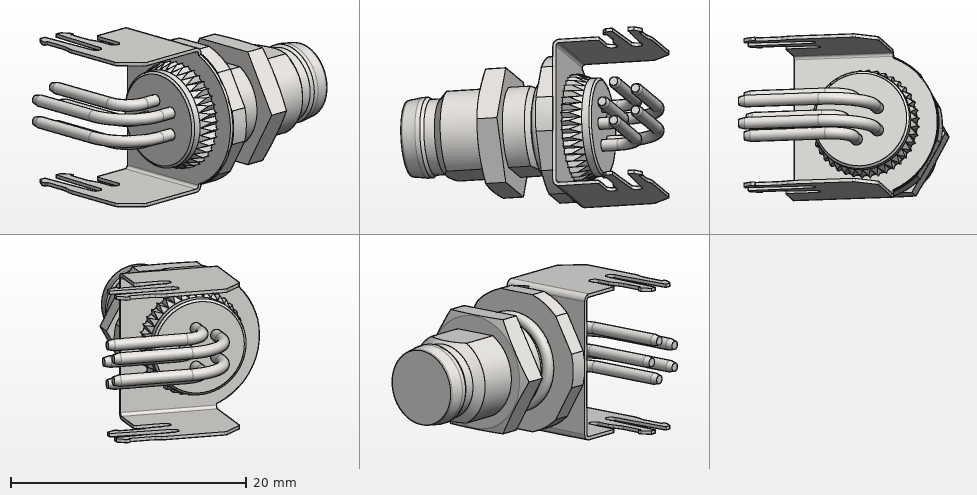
import cadquery as cq
import math


END_Y = 14.21
END_RADIUS = 3.25
END_BEVEL = 0.14
END_BEVEL_RADIUS = 3.3
RIDGE_TOP_Y = 12.9
RIDGE_BOTTOM_Y = 12.48
RIDGE_RADIUS = 3.45
NECK_RADIUS = 3.25
NECK_TOP_Y = 12.18
NECK_BOTTOM_Y = 11.25
BARREL_RADIUS = 4.0
BARREL_TOP_Y = 10.53
BARREL_BOTTOM_Y = 3.1
GROOVE_DIAMETER = 6.7
GROOVE_RADIUS = GROOVE_DIAMETER / 2
GROOVE_TOP_Y = 2.72
BARREL_FLAT_WIDTH = 7.0

NUT_FLAT_WIDTH = 10.0
NUT_TOP_Y = 7.04
NUT_THICKNESS = 1.99
NUT_BEVEL_RADIUS = 4.91
NUT_BEVEL_ANGLE = 14
FLANGE_THICKNESS = 1.53
FLANGE_RADIUS = 6.25
FLANGE_FLAT_WIDTH = 12.02
SEAL_WIRE_RADIUS = 0.5
SEAL_RADIUS = 3.86
SEAL_Y = 2.0

RIM_RADIUS = 4.2
RIM_END_Y = -2.79
RIM_BEVEL_LENGTH = 0.15
RIM_BEVEL_DEPTH = 0.2
TOOTH_COUNT = 40
TOOTH_TIP_RADIUS = 4.62
TOOTH_VALLEY_RADIUS = 4.23
TOOTH_TAPER_Y = -0.94
TOOTH_END_Y = -1.99

PIN_RADIUS = 0.5
PIN_TIP_RADIUS = 0.37
PIN_TIP_LENGTH = 0.55
PIN_EMBED_DEPTH = 0.23
PIN_ROOT_Y = RIM_END_Y + PIN_EMBED_DEPTH
CENTER_PIN = (-1.33, 0, -5.19, 1.49, -9.37)
OUTER_PIN = (-0.35, 1.7, -6.2, 1.99, -9.37)
LONG_PIN = (1.49, 0.95, -8.13, 4.0, -9.45)

SHEET = 0.3
BRACKET_HEIGHT = 12.8
BEND_OUTER_RADIUS = 0.57
BRACKET_LEFT_X = -6.25
BRACKET_RIGHT_X = 2.33
BRACKET_END_Y = -8.4
PLATE_RADIUS = 6.17
BRACKET_HOLE_RADIUS = 4.4
LEG_CORNER_CUT = 1.75
CUT_CORNER_FILLET = 0.37
LEG_CORNER_FILLET = 0.23
SLOT_RADIUS = 0.48
SLOT_END_X = -3.15

PRONG_HALF_SPAN = 1.71
PRONG_AXIS_Y = BRACKET_END_Y + PRONG_HALF_SPAN
PRONG_TIP_X = -9.1
PRONG_NOSE_X = -8.39
PRONG_BARB_X = -8.05
PRONG_ROOT_X = -4.75
PRONG_SLOPE_RUN = 0.48
PRONG_RELIEF_OFFSET = 1.45
PRONG_NOSE_OFFSET = 1.23
PRONG_GAP_AT_TIP = 0.69


def revolve_about_y(points):
    """Solid of revolution about the Y axis from (radius, y) points."""
    return cq.Workplane("XY").polyline(points).close().revolve(360, (0, 0), (0, 1))


def plate_along_y(y_low, y_high):
    """Workplane at y_low whose normal is -Y, and the signed distance that extrudes up to y_high."""
    return cq.Workplane("XZ", origin=(0, y_low, 0)), -(y_high - y_low)


def hexagon_prism(flat_width, y_low, y_high):
    """Hexagon with one pair of flats facing +Z and -Z."""
    plane, length = plate_along_y(y_low, y_high)
    return plane.polygon(6, flat_width / math.cos(math.pi / 6)).extrude(length)


def make_barrel():
    top_part = [
        (0, END_Y),
        (END_RADIUS, END_Y),
        (END_BEVEL_RADIUS, END_Y - END_BEVEL),
        (RIDGE_RADIUS, RIDGE_TOP_Y),
        (RIDGE_RADIUS, RIDGE_BOTTOM_Y),
        (NECK_RADIUS, NECK_TOP_Y),
        (NECK_RADIUS, NECK_BOTTOM_Y),
    ]
    threaded_part = [
        (BARREL_RADIUS, BARREL_TOP_Y),
        (BARREL_RADIUS, BARREL_BOTTOM_Y),
        (GROOVE_RADIUS, GROOVE_TOP_Y),
        (GROOVE_RADIUS, 0),
        (0, 0),
    ]
    barrel = revolve_about_y(top_part + threaded_part)
    flats = cq.Workplane("XY").box(
        2 * BARREL_RADIUS, END_Y, BARREL_FLAT_WIDTH, centered=(True, False, True)
    )
    return barrel.intersect(flats)


def make_nut():
    bottom_y = NUT_TOP_Y - NUT_THICKNESS
    corner_radius = NUT_FLAT_WIDTH / math.sqrt(3)
    bevel_drop = (corner_radius - NUT_BEVEL_RADIUS) * math.tan(math.radians(NUT_BEVEL_ANGLE))
    bevel = revolve_about_y([
        (0, NUT_TOP_Y),
        (NUT_BEVEL_RADIUS, NUT_TOP_Y),
        (corner_radius, NUT_TOP_Y - bevel_drop),
        (corner_radius, bottom_y),
        (0, bottom_y),
    ])
    return hexagon_prism(NUT_FLAT_WIDTH, bottom_y, NUT_TOP_Y).intersect(bevel)


def make_flange():
    plane, length = plate_along_y(0, FLANGE_THICKNESS)
    disc = plane.circle(FLANGE_RADIUS).extrude(length)
    return disc.intersect(hexagon_prism(FLANGE_FLAT_WIDTH, 0, FLANGE_THICKNESS))


def make_seal():
    ring = cq.Workplane("XY").center(-SEAL_RADIUS, SEAL_Y).circle(SEAL_WIRE_RADIUS)
    return ring.revolve(360, (SEAL_RADIUS, 0), (SEAL_RADIUS, 1))


def make_knurl():
    """Ring of pointed teeth, tapered towards the rim."""
    half_pitch = math.pi / TOOTH_COUNT
    outline = []
    for i in range(2 * TOOTH_COUNT):
        radius = TOOTH_TIP_RADIUS if i % 2 else TOOTH_VALLEY_RADIUS
        outline.append((radius * math.cos(i * half_pitch), radius * math.sin(i * half_pitch)))
    plane, length = plate_along_y(TOOTH_END_Y, 0)
    teeth = plane.polyline(outline).close().extrude(length)
    envelope = revolve_about_y([
        (0, 0),
        (TOOTH_TIP_RADIUS, 0),
        (TOOTH_TIP_RADIUS, TOOTH_TAPER_Y),
        (RIM_RADIUS, TOOTH_END_Y),
        (0, TOOTH_END_Y),
    ])
    return teeth.intersect(envelope)


def make_rim():
    return revolve_about_y([
        (0, 0),
        (RIM_RADIUS, 0),
        (RIM_RADIUS, RIM_END_Y + RIM_BEVEL_LENGTH),
        (RIM_RADIUS - RIM_BEVEL_DEPTH, RIM_END_Y),
        (0, RIM_END_Y),
    ])


def make_pin(axial_x, z, side_y, bend_radius, tip_x):
    bend_start_y = side_y + bend_radius
    bend_end_x = axial_x - bend_radius
    tip_start_x = tip_x + PIN_TIP_LENGTH
    bend_mid = (
        bend_end_x + bend_radius * math.cos(math.pi / 4),
        bend_start_y - bend_radius * math.sin(math.pi / 4),
    )
    path = (
        cq.Workplane("XY", origin=(0, 0, z))
        .moveTo(axial_x, PIN_ROOT_Y)
        .lineTo(axial_x, bend_start_y)
        .threePointArc(bend_mid, (bend_end_x, side_y))
        .lineTo(tip_start_x, side_y)
    )
    wire = cq.Workplane("XZ", origin=(axial_x, PIN_ROOT_Y, z)).circle(PIN_RADIUS).sweep(path)
    tip = cq.Solid.makeCone(
        PIN_RADIUS,
        PIN_TIP_RADIUS,
        PIN_TIP_LENGTH,
        cq.Vector(tip_start_x, side_y, z),
        cq.Vector(-1, 0, 0),
    )
    return wire.union(cq.Workplane(tip))


def make_housing():
    housing = make_barrel().union(make_nut()).union(make_flange()).union(make_seal())
    housing = housing.union(make_rim()).union(make_knurl())
    housing = housing.union(make_pin(*CENTER_PIN))
    for axial_x, z, side_y, bend_radius, tip_x in (OUTER_PIN, LONG_PIN):
        for side in (1, -1):
            housing = housing.union(make_pin(axial_x, side * z, side_y, bend_radius, tip_x))
    return housing


def make_bent_sheet():
    """U-shaped channel: the plate lies against the flange and two legs reach along -Y."""
    length = BRACKET_RIGHT_X - PRONG_TIP_X
    center_x = (BRACKET_RIGHT_X + PRONG_TIP_X) / 2
    inner_depth = -BRACKET_END_Y - SHEET
    outer = (
        cq.Workplane("XY", origin=(center_x, BRACKET_END_Y, 0))
        .box(length, -BRACKET_END_Y, BRACKET_HEIGHT, centered=(True, False, True))
        .edges("|X and >Y")
        .fillet(BEND_OUTER_RADIUS)
    )
    inner = (
        cq.Workplane("XY", origin=(center_x, BRACKET_END_Y, 0))
        .box(length, inner_depth, BRACKET_HEIGHT - 2 * SHEET, centered=(True, False, True))
        .edges("|X and >Y")
        .fillet(BEND_OUTER_RADIUS - SHEET)
    )
    return outer.cut(inner)


def make_leg_outline():
    """Prism through both legs that carries their outline, prongs and slots."""
    slot_arc_x = SLOT_END_X - SLOT_RADIUS
    upper_y = PRONG_AXIS_Y + PRONG_HALF_SPAN
    upper_slot_top_y = upper_y + 2 * SLOT_RADIUS
    slope_top_x = PRONG_ROOT_X - PRONG_SLOPE_RUN
    slope_bottom_x = slope_top_x - PRONG_SLOPE_RUN
    relief_x = slope_bottom_x - PRONG_SLOPE_RUN
    relief_depth = PRONG_HALF_SPAN - PRONG_RELIEF_OFFSET
    slope_top_offset = PRONG_HALF_SPAN - relief_depth / 4
    slope_bottom_offset = PRONG_RELIEF_OFFSET + relief_depth / 4
    outline = (
        cq.Workplane("XY", origin=(0, 0, -BRACKET_HEIGHT / 2))
        .moveTo(BRACKET_LEFT_X, 0)
        .lineTo(BRACKET_LEFT_X, upper_slot_top_y)
        .lineTo(slot_arc_x, upper_slot_top_y)
        .threePointArc((SLOT_END_X, upper_y + SLOT_RADIUS), (slot_arc_x, upper_y))
        .lineTo(PRONG_ROOT_X, upper_y)
        .tangentArcPoint((slope_top_x, PRONG_AXIS_Y + slope_top_offset), relative=False)
        .lineTo(slope_bottom_x, PRONG_AXIS_Y + slope_bottom_offset)
        .tangentArcPoint((relief_x, PRONG_AXIS_Y + PRONG_RELIEF_OFFSET), relative=False)
        .lineTo(PRONG_BARB_X, PRONG_AXIS_Y + PRONG_RELIEF_OFFSET)
        .lineTo(PRONG_BARB_X, upper_y)
        .lineTo(PRONG_NOSE_X, upper_y)
        .lineTo(PRONG_TIP_X, PRONG_AXIS_Y + PRONG_NOSE_OFFSET)
        .lineTo(PRONG_TIP_X, PRONG_AXIS_Y - PRONG_NOSE_OFFSET)
        .lineTo(PRONG_NOSE_X, BRACKET_END_Y)
        .lineTo(PRONG_BARB_X, BRACKET_END_Y)
        .lineTo(PRONG_BARB_X, PRONG_AXIS_Y - PRONG_RELIEF_OFFSET)
        .lineTo(relief_x, PRONG_AXIS_Y - PRONG_RELIEF_OFFSET)
        .tangentArcPoint((slope_bottom_x, PRONG_AXIS_Y - slope_bottom_offset), relative=False)
        .lineTo(slope_top_x, PRONG_AXIS_Y - slope_top_offset)
        .tangentArcPoint((PRONG_ROOT_X, BRACKET_END_Y), relative=False)
        .lineTo(BRACKET_RIGHT_X - LEG_CORNER_CUT, BRACKET_END_Y)
        .lineTo(BRACKET_RIGHT_X, BRACKET_END_Y + LEG_CORNER_CUT)
        .lineTo(BRACKET_RIGHT_X, 0)
        .close()
        .extrude(BRACKET_HEIGHT)
    )
    for x, y, radius in (
        (BRACKET_LEFT_X, upper_slot_top_y, LEG_CORNER_FILLET),
        (PRONG_NOSE_X, upper_y, LEG_CORNER_FILLET),
        (PRONG_NOSE_X, BRACKET_END_Y, LEG_CORNER_FILLET),
        (BRACKET_RIGHT_X - LEG_CORNER_CUT, BRACKET_END_Y, CUT_CORNER_FILLET),
        (BRACKET_RIGHT_X, BRACKET_END_Y + LEG_CORNER_CUT, CUT_CORNER_FILLET),
    ):
        corner = cq.selectors.NearestToPointSelector((x, y, 0))
        outline = outline.edges(corner).fillet(radius)
    prong_gap = (
        cq.Workplane("XY", origin=(0, PRONG_AXIS_Y, -BRACKET_HEIGHT / 2))
        .moveTo(PRONG_TIP_X, PRONG_GAP_AT_TIP)
        .lineTo(slot_arc_x, SLOT_RADIUS)
        .threePointArc((SLOT_END_X, 0), (slot_arc_x, -SLOT_RADIUS))
        .lineTo(PRONG_TIP_X, -PRONG_GAP_AT_TIP)
        .close()
        .extrude(BRACKET_HEIGHT)
    )
    return outline.cut(prong_gap)


def make_round_plate():
    """Round part of the bracket plate, to the right of the legs."""
    plane, length = plate_along_y(-SHEET, 0)
    disc = plane.circle(PLATE_RADIUS).extrude(length)
    right_side = cq.Workplane("XY").box(
        PLATE_RADIUS, 2 * SHEET, 2 * PLATE_RADIUS, centered=(False, True, True)
    )
    return disc.intersect(right_side)


def make_bracket():
    plane, length = plate_along_y(-SHEET, 0)
    hole = plane.circle(BRACKET_HOLE_RADIUS).extrude(length)
    bracket = make_bent_sheet().intersect(make_leg_outline()).union(make_round_plate())
    return bracket.cut(hole).cut(make_knurl())


housing = make_housing()
bracket = make_bracket()
result = cq.Compound.makeCompound([housing.val(), bracket.val()])